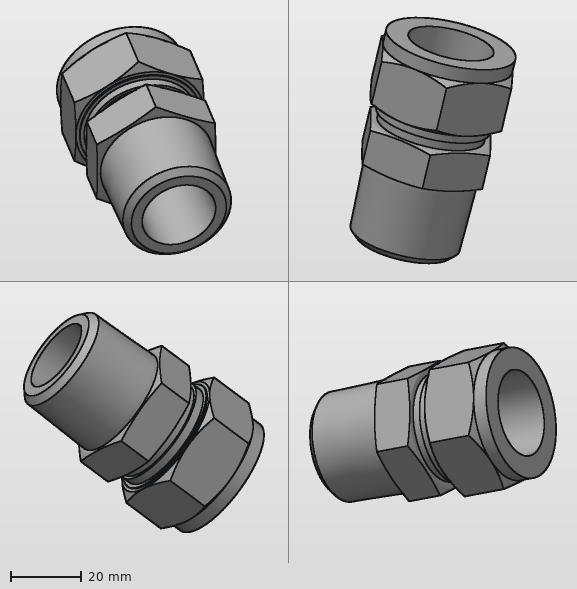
import cadquery as cq
import math

length = 62.3

nut_flats = 38.0
collar_end = 4.2
nut_end = 20.7
nut_chamfer_angle = 30.0

washer_radius = 17.95
washer_end = 21.1
shoulder_radius = 16.7
shoulder_end = 23.8
neck_radius = 15.75

body_flats = 35.1
body_start = 26.55
body_end = 38.4
body_chamfer_angle = 15.0

pipe_radius = 16.65
taper_start = 39.9
taper_end_radius = 16.1
pipe_chamfer_length = 2.0
pipe_tip_radius = 14.1

bore_radius = 10.9
socket_radius = 12.5
socket_depth = 31.15


def cylinder(start, end, radius):
    """Round bar along X between two stations."""
    return cq.Workplane("YZ", origin=(start, 0, 0)).circle(radius).extrude(end - start)


def revolve_about_x(points):
    """Solid of revolution from (x, radius) points."""
    return cq.Workplane("XZ").polyline(points).close().revolve(360, (0, 0, 0), (1, 0, 0))


def chamfered_hexagon(start, end, flats, chamfer_angle):
    """Hexagon along X, corners on +Z and -Z, with conical chamfers on both ends."""
    flat_radius = flats / 2
    corner_radius = flat_radius / math.cos(math.radians(30))
    chamfer = (corner_radius - flat_radius) * math.tan(math.radians(chamfer_angle))
    prism = (
        cq.Workplane("YZ", origin=(start, 0, 0))
        .transformed(rotate=(0, 0, 90))
        .polygon(6, 2 * corner_radius)
        .extrude(end - start)
    )
    envelope = revolve_about_x([
        (start, 0),
        (start, flat_radius),
        (start + chamfer, corner_radius),
        (end - chamfer, corner_radius),
        (end, flat_radius),
        (end, 0),
    ])
    return prism.intersect(envelope)


def pipe_end():
    """Straight lead, taper and chamfered tip."""
    taper_end = length - pipe_chamfer_length
    return revolve_about_x([
        (body_end, 0),
        (body_end, pipe_radius),
        (taper_start, pipe_radius),
        (taper_end, taper_end_radius),
        (length, pipe_tip_radius),
        (length, 0),
    ])


collar = cylinder(0, collar_end, nut_flats / 2)
nut = chamfered_hexagon(collar_end, nut_end, nut_flats, nut_chamfer_angle)
washer = cylinder(nut_end, washer_end, washer_radius)
shoulder = cylinder(washer_end, shoulder_end, shoulder_radius)
neck = cylinder(shoulder_end, body_start, neck_radius)
body = chamfered_hexagon(body_start, body_end, body_flats, body_chamfer_angle)

outside = collar.union(nut).union(washer).union(shoulder).union(neck).union(body).union(pipe_end())

bore = cylinder(0, length, bore_radius)
socket = cylinder(0, socket_depth, socket_radius)
result = outside.cut(bore).cut(socket)